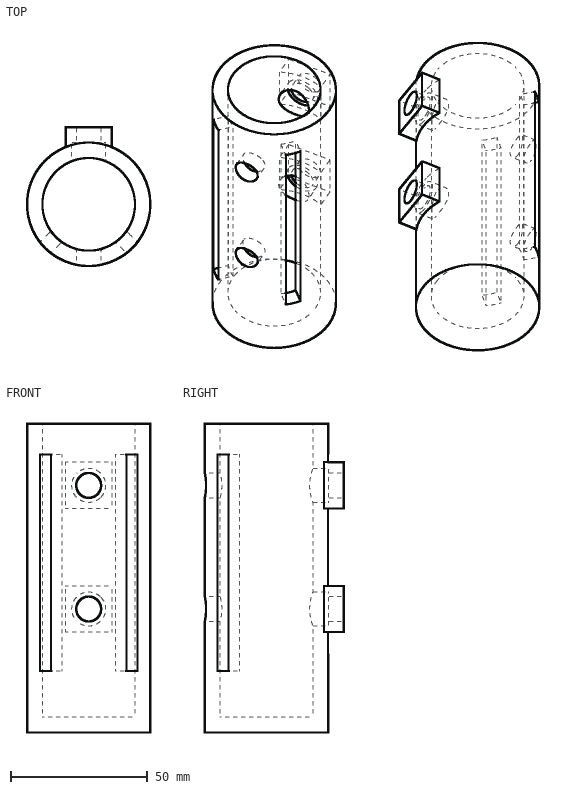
import cadquery as cq

wall = 5.6435
length = 20 * wall
outer_radius = 4 * wall
inner_radius = outer_radius - wall
floor_thickness = wall

station_heights = (8 * wall, 16 * wall)
hole_diameter = 1.6 * wall

counterbore_diameter = 2.2 * wall
counterbore_depth = wall

block_size = 3 * wall
block_projection = wall

slot_width = wall
slot_bottom = 4 * wall
slot_length = 14 * wall
slot_angles = (-45, 45)


def make_tube():
    """Solid cylinder standing on the XY plane, before it is bored."""
    return cq.Workplane("XY").circle(outer_radius).extrude(length)


def make_bore():
    """Blind bore, open at the top and leaving a floor at the bottom."""
    return (
        cq.Workplane("XY")
        .workplane(offset=floor_thickness)
        .circle(inner_radius)
        .extrude(length - floor_thickness)
    )


def make_block(height):
    """Block reaching from the bore axis to its flat outer face, centred at the given height."""
    depth = outer_radius + block_projection
    return (
        cq.Workplane("XY")
        .box(block_size, depth, block_size, centered=(True, False, True))
        .translate((0, 0, height))
    )


def make_cross_hole(height):
    """Cutter through both tube walls and the block at the given height."""
    reach = outer_radius + block_projection
    return (
        cq.Workplane("XZ")
        .center(0, height)
        .circle(hole_diameter / 2)
        .extrude(reach, both=True)
    )


def make_counterbore(height):
    """Cutter from the bore axis toward +Y, ending one counterbore depth beyond the bore wall."""
    return (
        cq.Workplane("XZ")
        .center(0, height)
        .circle(counterbore_diameter / 2)
        .extrude(-(inner_radius + counterbore_depth))
    )


def make_slot(angle):
    """Square-ended slot cutter from the axis outwards, turned about Z from the -Y direction."""
    reach = outer_radius + wall
    return (
        cq.Workplane("XY")
        .box(slot_width, reach, slot_length, centered=(True, False, False))
        .translate((0, -reach, slot_bottom))
        .rotate((0, 0, 0), (0, 0, 1), angle)
    )


body = make_tube()
for station_height in station_heights:
    body = body.union(make_block(station_height))

body = body.cut(make_bore())

for station_height in station_heights:
    body = body.cut(make_cross_hole(station_height))
    body = body.cut(make_counterbore(station_height))

for slot_angle in slot_angles:
    body = body.cut(make_slot(slot_angle))

result = body